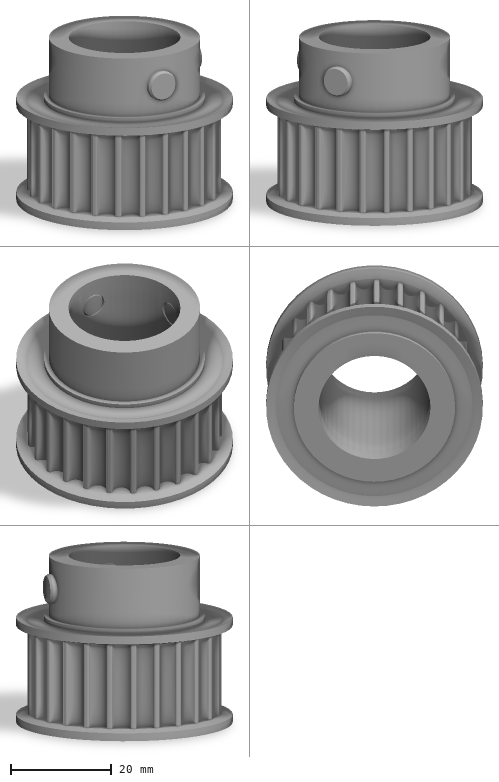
import cadquery as cq
import math

TOTAL_HEIGHT = 34.0
HUB_HEIGHT = 12.0
BELT_WIDTH = 17.0
BODY_HEIGHT = TOTAL_HEIGHT - HUB_HEIGHT
SHOULDER_HEIGHT = (BODY_HEIGHT - BELT_WIDTH) / 2

BORE_RADIUS = 11.1
HUB_RADIUS = 15.0
SHOULDER_RADIUS = 16.0
TOOTH_TIP_RADIUS = 19.3

TOOTH_COUNT = 25
TOOTH_DEPTH = 2.05
GROOVE_RADIUS = 1.75
TIP_FILLET = 0.45

FLANGE_RADIUS = 21.5
FLANGE_BEND_RADIUS = 19.5
FLANGE_THICKNESS = 1.6
FLANGE_DISH = 0.47

SCREW_RADIUS = 3.0
SCREW_OUTER_END = 16.1
SCREW_TIP_RADIUS = 2.2
SCREW_TIP_LENGTH = SCREW_RADIUS - SCREW_TIP_RADIUS
SCREW_BEVEL_WIDTH = 0.35
SCREW_BEVEL_LENGTH = 0.47
SCREW_TAP_RADIUS = 2.5
SCREW_HEIGHT = 28.0
SCREW_ANGLES = (0, 90)


def cylinder(radius, bottom, height):
    return cq.Workplane("XY").workplane(offset=bottom).circle(radius).extrude(height)


def belt_groove():
    """One round-bottomed groove cutter at +X, flared by the tip fillets."""
    centre_x = TOOTH_TIP_RADIUS - TOOTH_DEPTH + GROOVE_RADIUS
    fillet_y = GROOVE_RADIUS + TIP_FILLET
    fillet_x = math.sqrt((TOOTH_TIP_RADIUS - TIP_FILLET) ** 2 - fillet_y**2)
    tip_scale = TOOTH_TIP_RADIUS / (TOOTH_TIP_RADIUS - TIP_FILLET)
    tip_x = fillet_x * tip_scale
    tip_y = fillet_y * tip_scale
    mid_angle = (math.atan2(fillet_y, fillet_x) - math.pi / 2) / 2
    mid_x = fillet_x + TIP_FILLET * math.cos(mid_angle)
    mid_y = fillet_y + TIP_FILLET * math.sin(mid_angle)
    return (
        cq.Workplane("XY")
        .workplane(offset=SHOULDER_HEIGHT)
        .moveTo(centre_x, -GROOVE_RADIUS)
        .threePointArc((centre_x - GROOVE_RADIUS, 0), (centre_x, GROOVE_RADIUS))
        .lineTo(fillet_x, GROOVE_RADIUS)
        .threePointArc((mid_x, mid_y), (tip_x, tip_y))
        .lineTo(FLANGE_RADIUS, tip_y)
        .lineTo(FLANGE_RADIUS, -tip_y)
        .lineTo(tip_x, -tip_y)
        .threePointArc((mid_x, -mid_y), (fillet_x, -GROOVE_RADIUS))
        .close()
        .extrude(BELT_WIDTH)
    )


def place_at_screw(shape, angle):
    """Move a shape built along +X to screw height and turn it to the given angle."""
    return shape.translate((0, 0, SCREW_HEIGHT)).rotate((0, 0, 0), (0, 0, 1), angle)


def make_set_screw(angle):
    screw = (
        cq.Workplane("XZ")
        .moveTo(BORE_RADIUS, 0)
        .lineTo(BORE_RADIUS, SCREW_TIP_RADIUS)
        .lineTo(BORE_RADIUS + SCREW_TIP_LENGTH, SCREW_RADIUS)
        .lineTo(SCREW_OUTER_END - SCREW_BEVEL_LENGTH, SCREW_RADIUS)
        .lineTo(SCREW_OUTER_END, SCREW_RADIUS - SCREW_BEVEL_WIDTH)
        .lineTo(SCREW_OUTER_END, 0)
        .close()
        .revolve(360, (0, 0, 0), (1, 0, 0))
    )
    return place_at_screw(screw, angle)


def make_tap_hole(angle):
    """Narrow hole from the pulley axis to the outer end of a screw."""
    hole = cq.Workplane("YZ").circle(SCREW_TAP_RADIUS).extrude(SCREW_OUTER_END)
    return place_at_screw(hole, angle)


def make_pulley():
    pulley = cylinder(SHOULDER_RADIUS, 0, BODY_HEIGHT)
    pulley = pulley.union(cylinder(TOOTH_TIP_RADIUS, SHOULDER_HEIGHT, BELT_WIDTH))
    pulley = pulley.union(cylinder(HUB_RADIUS, BODY_HEIGHT, HUB_HEIGHT))
    pulley = pulley.cut(cylinder(BORE_RADIUS, 0, TOTAL_HEIGHT))
    groove = belt_groove()
    for i in range(TOOTH_COUNT):
        angle = 90 + i * 360 / TOOTH_COUNT
        pulley = pulley.cut(groove.rotate((0, 0, 0), (0, 0, 1), angle))
    for angle in SCREW_ANGLES:
        pulley = pulley.cut(make_tap_hole(angle))
        pulley = pulley.cut(make_set_screw(angle))
    return pulley


def make_flange(belt_side, outward):
    """Dished ring; belt_side is the height of its flat belt face, outward is +1 or -1."""
    flat_back = belt_side + outward * FLANGE_THICKNESS
    rim_shift = outward * FLANGE_DISH
    return (
        cq.Workplane("XZ")
        .moveTo(SHOULDER_RADIUS, belt_side)
        .lineTo(FLANGE_BEND_RADIUS, belt_side)
        .lineTo(FLANGE_RADIUS, belt_side + rim_shift)
        .lineTo(FLANGE_RADIUS, flat_back + rim_shift)
        .lineTo(FLANGE_BEND_RADIUS, flat_back)
        .lineTo(SHOULDER_RADIUS, flat_back)
        .close()
        .revolve(360, (0, 0, 0), (0, 1, 0))
    )


pulley = make_pulley()
lower_flange = make_flange(SHOULDER_HEIGHT, -1)
upper_flange = make_flange(SHOULDER_HEIGHT + BELT_WIDTH, 1)
set_screws = [make_set_screw(angle) for angle in SCREW_ANGLES]

result = cq.Compound.makeCompound(
    [pulley.val(), lower_flange.val(), upper_flange.val(), *[screw.val() for screw in set_screws]]
)